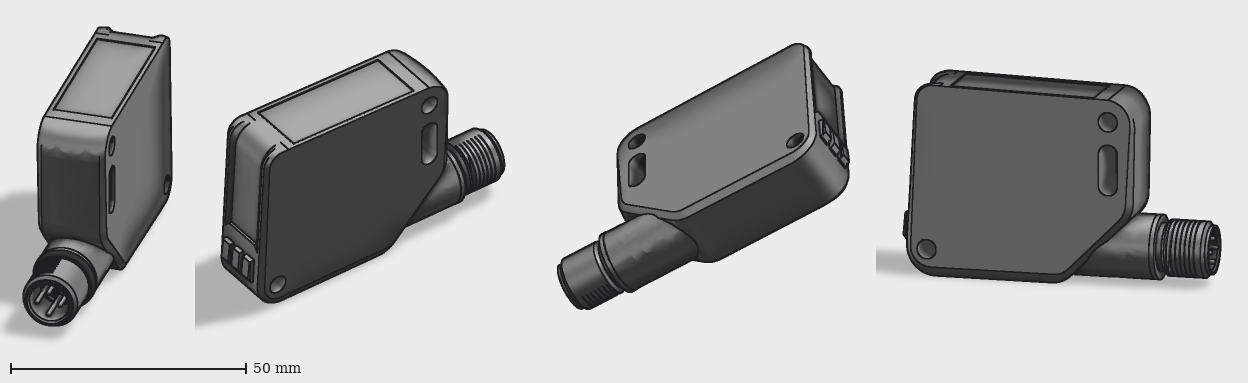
import cadquery as cq
import math


margin = 3.4

width = 15.1
bevel_width = 1.1
half_width = width / 2
half_core = half_width - bevel_width
height = 41.7
top_slope = 0.025
top_crest_y = 60.65
underside_bevel = 2.1
rear_foot_y = 66.5
rear_head_y = 64.2
side_rear_foot_y = 65.3
side_rear_head_y = 63.55
front_y = 15.45
core_front_top_y = 15.9
core_front_foot_y = 16.4
side_front_top_y = 16.45
side_front_foot_y = 17.85
slant_sum = 31.8
side_slant_sum = 33.8
flat_top_front_y = 21.65
flat_top_rear_y = 58.65
flat_top_thickness = 1.35
rear_top_radius = 3.7
middle_radii = (6.5, 6.05, 4.7, 6.05, rear_top_radius)
core_radii = (6.5, 6.05, 6.75, 6.05, rear_top_radius)
side_radii = (4.4, 4.4, 5.4, 5.4, 3.4)

scoop_rim_half = 5.8
scoop_floor_half = 4.6
scoop_depth = 0.7
scoop_overshoot = 0.035
scoop_foot_z = 15.5
scoop_ramp = 1.35
scoop_floor_radius = 4.8
window_front_y = 24.95
window_rear_y = 56.55
window_depth = 0.3
hole_dia = 4.2
front_hole_y = 21.65
front_hole_z = 35.9
rear_hole_y = 61.55
rear_hole_z = 5.9
slot_length = 11.05
slot_z = 25.4

indicator_pitch = 3.6
indicator_width = 2.3
indicator_foot_z = 7.1
indicator_peak_z = 8.2
indicator_top_z = 12.95
indicator_peak_y = 67.4
indicator_top_y = 67.0
indicator_foot_y = 66.45
collar_width = 2.6
collar_y = 66.8

plug_z = 7.7
barrel_dia = 13.9
barrel_width = 13.6
flange_front_y = 11.7
flange_rear_y = 12.8
barrel_end_y = 32.35
neck_dia = 10.5
thread_dia = 12.1
thread_rear_y = 10.5
thread_front_y = 0.95
thread_chamfer = 0.75
tip_y = 0.2
thread_pitch = 1.0
groove_count = 7
groove_depth = 0.15
groove_width = 0.15
first_groove_y = 3.2
bore_dia = 8.7
mouth_dia = 9.6
mouth_depth = 0.5
bore_depth = 8.1
bore_end_dia = 7.95
bore_end_length = 1.35
pin_count = 4
pin_dia = 1.0
pin_circle_radius = 2.55
pin_tip_fillet = 0.35
index_angle = 45
key_dia = 1.15
key_radius = 3.7
key_front_y = 1.35
notch_dia = 0.6


def top_z(y):
    """Height of the sloping top face at a given Y."""
    return height - top_slope * (top_crest_y - y)


def point_at_z(foot, head, z):
    """Point at level z on the line through two (Y, Z) points."""
    share = (z - foot[1]) / (head[1] - foot[1])
    return (foot[0] + share * (head[0] - foot[0]), z)


def rounded_wire(x, corners, radii):
    """Closed wire at a given X through (Y, Z) corners, each rounded by its radius (0 = sharp)."""
    arcs = []
    count = len(corners)
    for i, radius in enumerate(radii):
        corner = cq.Vector(*corners[i])
        back = (cq.Vector(*corners[i - 1]) - corner).normalized()
        ahead = (cq.Vector(*corners[(i + 1) % count]) - corner).normalized()
        half_angle = back.getAngle(ahead) / 2
        setback = radius / math.tan(half_angle)
        middle_distance = radius / math.sin(half_angle) - radius
        middle = corner + (back + ahead).normalized() * middle_distance
        arcs.append((corner + back * setback, middle, corner + ahead * setback))
    path = cq.Workplane("YZ", origin=(x, 0, 0)).moveTo(arcs[-1][2].x, arcs[-1][2].y)
    for start, middle, end in arcs:
        path = path.lineTo(start.x, start.y)
        if end != start:
            path = path.threePointArc((middle.x, middle.y), (end.x, end.y))
    return path.close().val()


def housing_wire(x, bottom_z, rear_foot, rear_head, slant, front_foot, front_top, radii):
    """Five-cornered side outline of the housing at a given X."""
    rear_line = ((rear_foot, 0), (rear_head, height))
    corners = [
        point_at_z(*rear_line, bottom_z),
        (slant - bottom_z, bottom_z),
        (front_foot, slant - front_foot),
        (front_top, top_z(front_top)),
        point_at_z(*rear_line, top_z(rear_head)),
    ]
    return rounded_wire(x, corners, radii)


def side_wire(x):
    return housing_wire(x, underside_bevel, side_rear_foot_y, side_rear_head_y, side_slant_sum,
                        side_front_foot_y, side_front_top_y, side_radii)


def core_wire(x, front_foot, front_top, radii):
    return housing_wire(x, 0, rear_foot_y, rear_head_y, slant_sum, front_foot, front_top, radii)


def top_slab(rise):
    """Flat slab along the top face, standing above it by rise."""
    profile = [
        (flat_top_front_y, top_z(flat_top_front_y) - flat_top_thickness),
        (flat_top_rear_y, top_z(flat_top_rear_y) - flat_top_thickness),
        (flat_top_rear_y, top_z(flat_top_rear_y) + rise),
        (flat_top_front_y, top_z(flat_top_front_y) + rise),
    ]
    return cq.Workplane("YZ").polyline(profile).close().extrude(half_width, both=True)


def housing():
    left = core_wire(-half_core, core_front_foot_y, core_front_top_y, core_radii)
    middle = core_wire(0, front_y, front_y, middle_radii)
    right = core_wire(half_core, core_front_foot_y, core_front_top_y, core_radii)
    body = cq.Workplane(cq.Solid.makeLoft([left, middle, right], False))
    body = body.union(cq.Workplane(cq.Solid.makeLoft([side_wire(-half_width), left], True)))
    body = body.union(cq.Workplane(cq.Solid.makeLoft([right, side_wire(half_width)], True)))
    return body.cut(top_slab(margin)).union(top_slab(0))


def scoop_wire(x, depth, lift, corner_radius):
    """Outline of the rear scoop at a given X; a negative depth lies outside the rear face."""
    floor_foot = (rear_foot_y - depth, 0)
    floor_head = (rear_head_y - depth, height)
    ramp_z = scoop_foot_z + scoop_ramp * depth / scoop_depth
    outer_y = rear_foot_y + margin
    outer_z = height + margin
    corners = [
        (outer_y, ramp_z),
        point_at_z(floor_foot, floor_head, ramp_z),
        point_at_z(floor_foot, floor_head, top_z(rear_head_y - depth) + lift),
        (flat_top_rear_y, top_z(flat_top_rear_y) + lift),
        (flat_top_rear_y, outer_z),
        (outer_y, outer_z),
    ]
    return rounded_wire(x, corners, (0, 0, corner_radius, 0, 0, 0))


def rear_scoop():
    """Shallow hollow running up the rear face and over its top corner, with sloping sides."""
    slope = (scoop_rim_half - scoop_floor_half) / scoop_depth
    outer_half = scoop_rim_half + scoop_overshoot * slope
    wires = [
        scoop_wire(-outer_half, -scoop_overshoot, scoop_overshoot, rear_top_radius),
        scoop_wire(-scoop_floor_half, scoop_depth, 0, scoop_floor_radius),
        scoop_wire(scoop_floor_half, scoop_depth, 0, scoop_floor_radius),
        scoop_wire(outer_half, -scoop_overshoot, scoop_overshoot, rear_top_radius),
    ]
    return cq.Workplane(cq.Solid.makeLoft(wires, True))


def window():
    """Shallow pocket parallel to the sloping top face."""
    profile = [
        (window_front_y, top_z(window_front_y) - window_depth),
        (window_rear_y, top_z(window_rear_y) - window_depth),
        (window_rear_y, height + margin),
        (window_front_y, height + margin),
    ]
    return cq.Workplane("YZ").polyline(profile).close().extrude(half_core, both=True)


def mounting_holes():
    sketch = cq.Workplane("YZ").pushPoints([(front_hole_y, front_hole_z), (rear_hole_y, rear_hole_z)])
    holes = sketch.circle(hole_dia / 2).extrude(half_width, both=True)
    slot_sketch = cq.Workplane("YZ").center(front_hole_y, slot_z).slot2D(slot_length, hole_dia, 90)
    return holes.union(slot_sketch.extrude(half_width, both=True))


def indicator(x, limit_y, across):
    """Wedge-nosed block on the rear face, cut off at a given Y."""
    root_y = rear_head_y
    profile = [
        (root_y, indicator_foot_z),
        (indicator_foot_y, indicator_foot_z),
        (indicator_peak_y, indicator_peak_z),
        (indicator_top_y, indicator_top_z),
        (root_y, indicator_top_z),
    ]
    block = cq.Workplane("YZ", origin=(x, 0, 0)).polyline(profile).close().extrude(across / 2, both=True)
    length = limit_y - root_y
    limits = cq.Workplane("XY").box(width, length, height, centered=(True, False, False))
    return block.intersect(limits.translate((0, root_y, 0)))


def indicators():
    blocks = indicator(0, indicator_peak_y, indicator_width)
    for side in (-1, 1):
        x = side * indicator_pitch
        blocks = blocks.union(indicator(x, indicator_peak_y, indicator_width))
        blocks = blocks.union(indicator(x, collar_y, collar_width))
    return blocks


def plug_cylinder(dia, start_y, end_y, x=0, z_offset=0):
    """Cylinder along Y, placed relative to the plug axis."""
    base = cq.Workplane("XZ", origin=(x, end_y, plug_z + z_offset))
    return base.circle(dia / 2).extrude(end_y - start_y)


def barrel():
    base = cq.Workplane("XZ", origin=(0, barrel_end_y, plug_z))
    body = base.ellipse(barrel_width / 2, barrel_dia / 2).extrude(barrel_end_y - flange_front_y)
    return body.union(plug_cylinder(barrel_dia, flange_front_y, flange_rear_y))


def thread_grooves():
    """V grooves around the -X half of the threaded sleeve."""
    grooves = cq.Workplane("XY")
    surface = thread_dia / 2
    for i in range(groove_count):
        y = first_groove_y + i * thread_pitch
        profile = [
            (surface, y - groove_width / 2),
            (surface - groove_depth, y),
            (surface, y + groove_width / 2),
        ]
        sketch = cq.Workplane("XY", origin=(0, 0, plug_z)).polyline(profile).close()
        ring = sketch.revolve(180, (0, 0), (0, 1)).rotate((0, 0, plug_z), (0, 1, plug_z), 90)
        grooves = grooves.add(ring)
    return grooves.combine()


def threaded_sleeve():
    thread = plug_cylinder(thread_dia, thread_front_y, thread_rear_y).edges().chamfer(thread_chamfer)
    neck = plug_cylinder(neck_dia, tip_y, flange_front_y)
    bore = plug_cylinder(bore_dia, tip_y, tip_y + bore_depth)
    bore = bore.union(plug_cylinder(bore_end_dia, tip_y, tip_y + bore_depth + bore_end_length))
    cone = cq.Solid.makeCone(
        mouth_dia / 2, bore_dia / 2, mouth_depth, cq.Vector(0, tip_y, plug_z), cq.Vector(0, 1, 0)
    )
    mouth = cq.Workplane(cone)
    return thread.cut(thread_grooves()).union(neck).cut(bore).cut(mouth)


def pins():
    rods = cq.Workplane("XY")
    for i in range(pin_count):
        angle = 2 * math.pi * i / pin_count
        x = pin_circle_radius * math.cos(angle)
        z = pin_circle_radius * math.sin(angle)
        rod = plug_cylinder(pin_dia, 0, flange_front_y, x, z)
        rods = rods.add(rod.faces("<Y").edges().fillet(pin_tip_fillet))
    return rods.combine()


def index_rod(dia, radius, start_y, end_y):
    """Rod along Y at the index angle of the plug."""
    angle = math.radians(index_angle)
    return plug_cylinder(dia, start_y, end_y, radius * math.cos(angle), radius * math.sin(angle))


def plug():
    key = index_rod(key_dia, key_radius, key_front_y, flange_front_y)
    notch = index_rod(notch_dia, neck_dia / 2, tip_y, thread_front_y)
    return barrel().union(threaded_sleeve()).union(pins()).union(key).cut(notch)


result = housing().cut(rear_scoop()).cut(window())
result = result.union(indicators()).union(plug())
result = result.cut(mounting_holes())